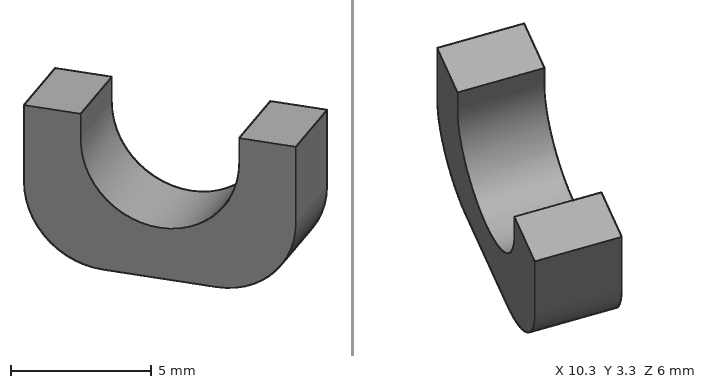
import cadquery as cq

length = 10.3
depth = 3.3
height = 6.0
saddle_radius = 3.0
floor_thickness = 2.0
corner_radius = saddle_radius

saddle_center_z = floor_thickness + saddle_radius


def rounded_block():
    """Block with both lower edges rounded, standing on Z = 0."""
    block = cq.Workplane("XY").box(length, depth, height, centered=(True, True, False))
    return block.faces("<Z").edges("|Y").fillet(corner_radius)


def saddle_cutter():
    """Round-bottomed channel running along Y and open at the top."""
    return (
        cq.Workplane("XZ", origin=(0, depth / 2, 0))
        .moveTo(-saddle_radius, height)
        .lineTo(-saddle_radius, saddle_center_z)
        .threePointArc((0, floor_thickness), (saddle_radius, saddle_center_z))
        .lineTo(saddle_radius, height)
        .close()
        .extrude(depth)
    )


result = rounded_block().cut(saddle_cutter())